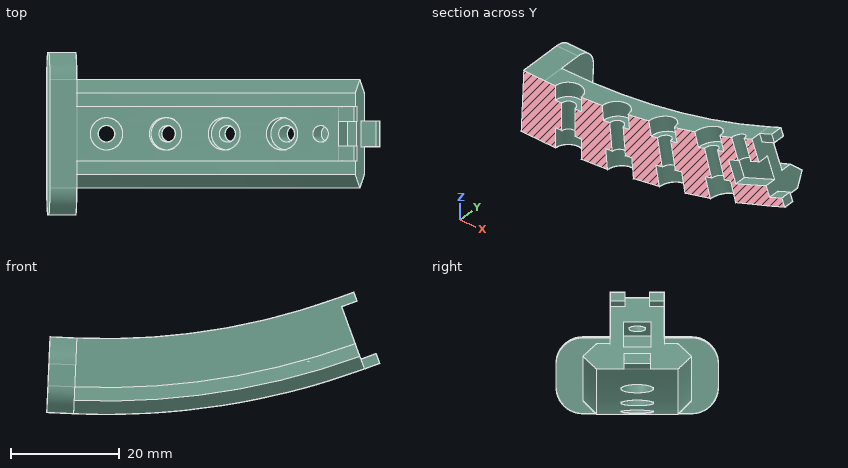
import cadquery as cq


inner_radius = 125.0
body_height = 14.0
outer_radius = inner_radius + body_height
start_angle = -2.5
end_angle = 20.0
neck_width = 10.0
flange_width = 20.0
flange_height = 5.0
flange_chamfer = flange_height / 2

plate_thickness = 5.0
plate_width = 30.0
plate_corner_radius = 5.0

hole_diameter = 3.0
counterbore_diameter = 5.95
inner_counterbore_depth = 3.2
outer_counterbore_depth = 4.55
counterbored_hole_angles = (0, 5, 10, 15)
plain_hole_angle = 18.4

cut_overrun = 1.2
radius_inside_body = inner_radius - cut_overrun
radius_outside_body = outer_radius + cut_overrun

tab_length = 3.0
inner_tab_thickness = 1.8
inner_tab_gap = 4.5
inner_tab_width = (neck_width - inner_tab_gap) / 2
outer_tab_thickness = 1.95
outer_tab_width = 4.8
pocket_depth = 7.5
pocket_width = 5.0
pocket_height = 4.85
pocket_top = 4.8


def at_angle(shape, angle):
    """Swing a shape built at angle 0 round the Y axis."""
    return shape.rotate((0, 0, 0), (0, 1, 0), -angle)


def block(length, width, height, top_radius, y_center=0):
    """Box starting at x = 0, running towards +X, with its top at the given radius."""
    return (
        cq.Workplane("XY")
        .box(length, width, height, centered=(False, True, False))
        .translate((0, y_center, -top_radius - height))
    )


def radial_cylinder(diameter, from_radius, to_radius):
    """Cylinder along the radius at angle 0, between two radii."""
    return (
        cq.Workplane("XY")
        .workplane(offset=-to_radius)
        .circle(diameter / 2)
        .extrude(to_radius - from_radius)
    )


def counterbored_hole():
    return (
        radial_cylinder(hole_diameter, radius_inside_body, radius_outside_body)
        .union(
            radial_cylinder(
                counterbore_diameter, radius_inside_body, inner_radius + inner_counterbore_depth
            )
        )
        .union(
            radial_cylinder(
                counterbore_diameter, outer_radius - outer_counterbore_depth, radius_outside_body
            )
        )
    )


def plain_hole():
    """Plain hole that breaks into the pocket and stops halfway down it."""
    hole_end = inner_radius + pocket_top + pocket_height / 2
    return radial_cylinder(hole_diameter, radius_inside_body, hole_end)


def curved_body():
    half_neck = neck_width / 2
    half_flange = flange_width / 2
    half_flat = half_flange - flange_chamfer
    flange_top = -outer_radius + flange_height
    flange_middle = -outer_radius + flange_chamfer
    right_side = [
        (half_flat, -outer_radius),
        (half_flange, flange_middle),
        (half_flat, flange_top),
        (half_neck, flange_top),
        (half_neck, -inner_radius),
    ]
    left_side = [(-y, z) for y, z in reversed(right_side)]
    sweep = (
        cq.Workplane("YZ")
        .polyline(right_side + left_side)
        .close()
        .revolve(end_angle - start_angle, (0, 0, 0), (-1, 0, 0))
    )
    return at_angle(sweep, start_angle)


def end_plate():
    plate = block(plate_thickness, plate_width, body_height, inner_radius)
    plate = plate.edges("|X").fillet(plate_corner_radius)
    return at_angle(plate.translate((-plate_thickness, 0, 0)), start_angle)


def end_tabs():
    side_offset = (inner_tab_gap + inner_tab_width) / 2
    tabs = block(tab_length, outer_tab_width, outer_tab_thickness, outer_radius - outer_tab_thickness)
    for y_center in (-side_offset, side_offset):
        tabs = tabs.union(
            block(tab_length, inner_tab_width, inner_tab_thickness, inner_radius, y_center)
        )
    return at_angle(tabs, end_angle)


def end_pocket():
    pocket = block(pocket_depth, pocket_width, pocket_height, inner_radius + pocket_top)
    return at_angle(pocket.translate((-pocket_depth, 0, 0)), end_angle)


result = curved_body().union(end_plate()).union(end_tabs())

for hole_angle in counterbored_hole_angles:
    result = result.cut(at_angle(counterbored_hole(), hole_angle))
result = result.cut(at_angle(plain_hole(), plain_hole_angle))
result = result.cut(end_pocket())

result = result.translate((0, 0, outer_radius))